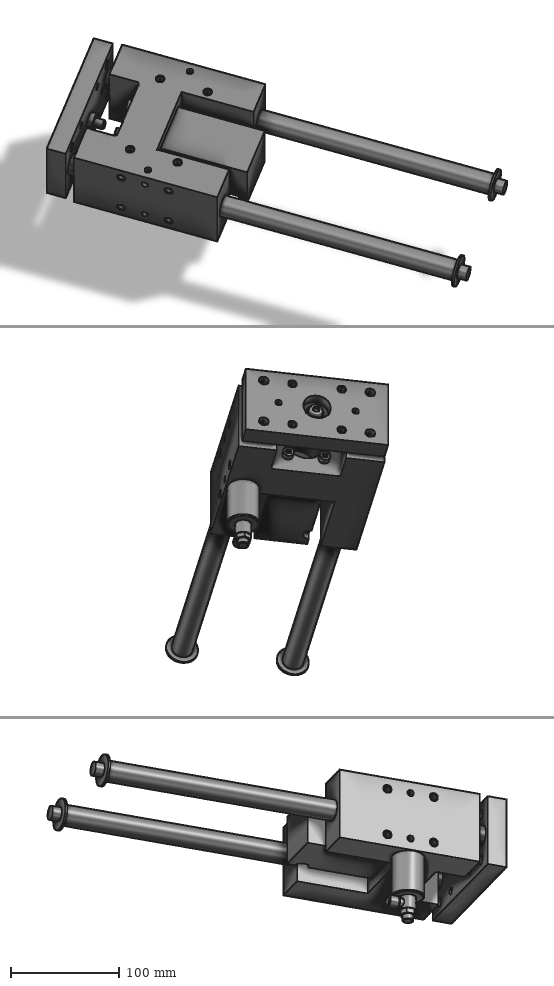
import cadquery as cq


TOTAL_LENGTH = 406.0
BLOCK_HEIGHT = 69.0

PLATE_LENGTH = 18.5
PLATE_WIDTH = 133.5
PLATE_BORE_DIA = 25.5
PLATE_BORE_DEPTH = 11.0
CORNER_HOLE_DIA = 9.0
CORNER_HOLE_Y = 50.0
PLATE_PIN_DIA = 6.0
PLATE_PIN_Y = 36.0

TAP_DIA = 6.5
TAP_MOUTH_DIA = 8.0
TAP_DEPTH = 12.0
TAP_OFFSET = 23.0
DRILL_POINT_HEIGHT = 2.0

SCREW_HEAD_DIA = 13.5
SCREW_HEAD_HEIGHT = 6.5
SCREW_HEAD_ROUNDING = 3.0
SCREW_SOCKET_DIA = 6.0
SCREW_SOCKET_DEPTH = 3.2
WASHER_DIA = 16.5
WASHER_THICKNESS = 1.0
COLLAR_LENGTH = 5.3
STUD_DIA = 9.0
STUD_END_X = 33.5
STUD_CHAMFER = 1.2

ROD_DIA = 20.0
ROD_Y = 52.0
ROD_END_X = 395.0
STOP_DIA = 30.0
STOP_THICKNESS = 2.0
END_SCREW_DIA = 13.5

HOUSING_START_X = 27.0
HOUSING_LENGTH = 139.5
HOUSING_WIDTH = 137.0
WEB_START_X = 56.5
WEB_END_X = 96.5
FRONT_GAP = 65.0
REAR_GAP = 70.0
FRONT_GAP_FILLET = 2.5
BORE_DIA = 36.5

REAR_BLOCK_END_X = 181.0
REAR_BLOCK_WIDTH = 50.0
REAR_BLOCK_HEIGHT = 47.5
NOTCH_RADIUS = 6.5
NOTCH_X = 166.5
NOTCH_HEIGHT = 6.5

PATTERN_X = 96.2
TOP_TAP_Y = 42.5
HOUSING_PIN_DIA = 6.0
HOUSING_PIN_DEPTH = 8.0
TOP_PIN_Y = 59.5

CAP_SCREW_OFFSET = 17.0
CAP_SCREW_DIA = 10.0
CAP_SCREW_HEIGHT = 6.0
CAP_SOCKET_DIA = 5.0
CAP_SOCKET_DEPTH = 3.2

UNIT_X = 92.0
UNIT_DIA = 30.0
UNIT_BOTTOM = -75.5
UNIT_CHAMFER = 1.2
NECK_DIA = 15.0
NECK_BOTTOM = -89.0
NUT_ACROSS_CORNERS = 15.0
NUT_BOTTOM = -93.8
TIP_DIA = 10.0
TIP_BOTTOM = -99.5
TIP_CHAMFER = 1.0
OUTLET_Z = -82.5
OUTLET_DIA = 9.7
OUTLET_CAP_DIA = 11.8
OUTLET_CAP_START_X = 102.0
OUTLET_CAP_END_X = 113.0
OUTLET_CAP_CHAMFER = 1.2

SIDES = (-1, 1)


def box_x(start, end, width, height):
    """Box from start to end along X, centred in Y and Z."""
    return cq.Workplane("XY").box(end - start, width, height).translate(((start + end) / 2, 0, 0))


def rod_x(diameter, start, end, y=0.0, z=0.0):
    """Round bar along X."""
    return cq.Workplane("YZ", origin=(start, y, z)).circle(diameter / 2).extrude(end - start)


def rod_z(diameter, top, bottom):
    """Round bar on the vertical axis of the plug unit, built downwards."""
    return cq.Workplane("XY", origin=(UNIT_X, ROD_Y, top)).circle(diameter / 2).extrude(bottom - top)


def four_corners(half_y, half_z):
    """(Y, Z) corners of a rectangle centred on the axis."""
    return [(sy * half_y, sz * half_z) for sy in SIDES for sz in SIDES]


def plain_hole(point, direction, diameter, depth):
    """Tool for a round hole from a point on a face, running in the given direction."""
    return cq.Workplane(cq.Plane(point, normal=direction)).circle(diameter / 2).extrude(depth)


def tapped_hole(point, direction, depth):
    """Tool for a hole with a countersunk mouth and a drill point."""
    mouth_depth = (TAP_MOUTH_DIA - TAP_DIA) / 2
    start = cq.Vector(*point)
    axis = cq.Vector(*direction)
    mouth = cq.Solid.makeCone(TAP_MOUTH_DIA / 2, TAP_DIA / 2, mouth_depth, start, axis)
    shank = cq.Solid.makeCylinder(TAP_DIA / 2, depth, start, axis)
    point_cone = cq.Solid.makeCone(TAP_DIA / 2, 0, DRILL_POINT_HEIGHT, start + axis * depth, axis)
    return cq.Workplane(mouth.fuse(shank, point_cone))



def coupling_screw():
    """Button head screw in the plate bore, with its collar and stud behind the plate."""
    head_base_x = PLATE_BORE_DEPTH - WASHER_THICKNESS
    washer = rod_x(WASHER_DIA, head_base_x, PLATE_BORE_DEPTH)
    head_top_x = head_base_x - SCREW_HEAD_HEIGHT
    head = rod_x(SCREW_HEAD_DIA, head_top_x, head_base_x).faces("<X").fillet(SCREW_HEAD_ROUNDING)
    socket = rod_x(SCREW_SOCKET_DIA, head_top_x, head_top_x + SCREW_SOCKET_DEPTH)
    collar = rod_x(WASHER_DIA, PLATE_LENGTH, PLATE_LENGTH + COLLAR_LENGTH)
    stud = rod_x(STUD_DIA, PLATE_LENGTH, STUD_END_X).faces(">X").chamfer(STUD_CHAMFER)
    return washer.union(head.cut(socket)).union(collar).union(stud)


def make_plate():
    plate = box_x(0, PLATE_LENGTH, PLATE_WIDTH, BLOCK_HEIGHT)
    plate = plate.cut(rod_x(PLATE_BORE_DIA, 0, PLATE_BORE_DEPTH))
    for y, z in four_corners(CORNER_HOLE_Y, TAP_OFFSET):
        plate = plate.cut(rod_x(CORNER_HOLE_DIA, 0, PLATE_LENGTH, y, z))
    for y, z in four_corners(TAP_OFFSET, TAP_OFFSET):
        plate = plate.cut(tapped_hole((0, y, z), (1, 0, 0), PLATE_LENGTH))
    for side in SIDES:
        plate = plate.cut(rod_x(PLATE_PIN_DIA, 0, PLATE_LENGTH, side * PLATE_PIN_Y))
    return plate


def guide_rod(y):
    """Rod with its end stop washer and the head of the end screw."""
    stop_end_x = ROD_END_X + STOP_THICKNESS
    rod = rod_x(ROD_DIA, PLATE_LENGTH, ROD_END_X, y)
    stop = rod_x(STOP_DIA, ROD_END_X, stop_end_x, y)
    end_screw = rod_x(END_SCREW_DIA, stop_end_x, TOTAL_LENGTH, y)
    return rod.union(stop).union(end_screw)


def make_slide():
    slide = make_plate().union(coupling_screw())
    for side in SIDES:
        slide = slide.union(guide_rod(side * ROD_Y))
    return slide



def housing_frame():
    """H-shaped frame with rounded front corners, bored for the rods and the cylinder."""
    end_x = HOUSING_START_X + HOUSING_LENGTH
    frame = box_x(HOUSING_START_X, end_x, HOUSING_WIDTH, BLOCK_HEIGHT)
    front_gap = box_x(HOUSING_START_X, WEB_START_X, FRONT_GAP, BLOCK_HEIGHT)
    frame = frame.cut(front_gap.edges("|Z and >X").fillet(FRONT_GAP_FILLET))
    frame = frame.cut(box_x(WEB_END_X, end_x, REAR_GAP, BLOCK_HEIGHT))
    frame = frame.cut(rod_x(BORE_DIA, WEB_START_X, WEB_END_X))
    for side in SIDES:
        frame = frame.cut(rod_x(ROD_DIA, HOUSING_START_X, end_x, side * ROD_Y))
    return frame


def drill_fixing_holes(frame):
    """Tapped and pin holes in the top face and in both long side faces."""
    top = BLOCK_HEIGHT / 2
    for side in SIDES:
        face_y = side * HOUSING_WIDTH / 2
        inward = (0, -side, 0)
        for x in (PATTERN_X - TAP_OFFSET, PATTERN_X + TAP_OFFSET):
            frame = frame.cut(tapped_hole((x, side * TOP_TAP_Y, top), (0, 0, -1), TAP_DEPTH))
            for z in (-TAP_OFFSET, TAP_OFFSET):
                frame = frame.cut(tapped_hole((x, face_y, z), inward, TAP_DEPTH))
        top_pin = (PATTERN_X, side * TOP_PIN_Y, top)
        frame = frame.cut(plain_hole(top_pin, (0, 0, -1), HOUSING_PIN_DIA, HOUSING_PIN_DEPTH))
        for z in (-TAP_OFFSET, TAP_OFFSET):
            side_pin = (PATTERN_X, face_y, z)
            frame = frame.cut(plain_hole(side_pin, inward, HOUSING_PIN_DIA, HOUSING_PIN_DEPTH))
    return frame


def rear_block():
    """Block behind the web, with a half-round notch low on its -Y side."""
    block = box_x(WEB_END_X, REAR_BLOCK_END_X, REAR_BLOCK_WIDTH, REAR_BLOCK_HEIGHT)
    corner = (NOTCH_X, -REAR_BLOCK_WIDTH / 2, -REAR_BLOCK_HEIGHT / 2)
    return block.cut(plain_hole(corner, (0, 0, 1), 2 * NOTCH_RADIUS, NOTCH_HEIGHT))


def cap_screw(y, z):
    top_x = WEB_START_X - CAP_SCREW_HEIGHT
    head = rod_x(CAP_SCREW_DIA, top_x, WEB_START_X, y, z)
    return head.cut(rod_x(CAP_SOCKET_DIA, top_x, top_x + CAP_SOCKET_DEPTH, y, z))


def plug_unit():
    """Stepped round unit under the housing, with a hexagon nut and a sideways outlet."""
    top = -BLOCK_HEIGHT / 2
    drum = rod_z(UNIT_DIA, top, UNIT_BOTTOM).faces("<Z").chamfer(UNIT_CHAMFER)
    neck = rod_z(NECK_DIA, UNIT_BOTTOM, NECK_BOTTOM)
    nut = (
        cq.Workplane("XY", origin=(UNIT_X, ROD_Y, NECK_BOTTOM))
        .polygon(6, NUT_ACROSS_CORNERS)
        .extrude(NUT_BOTTOM - NECK_BOTTOM)
    )
    tip = rod_z(TIP_DIA, NUT_BOTTOM, TIP_BOTTOM).faces("<Z").chamfer(TIP_CHAMFER)
    outlet = rod_x(OUTLET_DIA, UNIT_X, OUTLET_CAP_START_X, ROD_Y, OUTLET_Z)
    cap = rod_x(OUTLET_CAP_DIA, OUTLET_CAP_START_X, OUTLET_CAP_END_X, ROD_Y, OUTLET_Z)
    cap = cap.faces("<X or >X").chamfer(OUTLET_CAP_CHAMFER)
    return drum.union(neck).union(nut).union(tip).union(outlet).union(cap)


def make_housing():
    housing = drill_fixing_holes(housing_frame())
    housing = housing.union(rear_block()).union(plug_unit())
    for y, z in four_corners(CAP_SCREW_OFFSET, CAP_SCREW_OFFSET):
        housing = housing.union(cap_screw(y, z))
    return housing


slide = make_slide()
housing = make_housing()

result = cq.Compound.makeCompound([slide.solids().val(), housing.solids().val()])